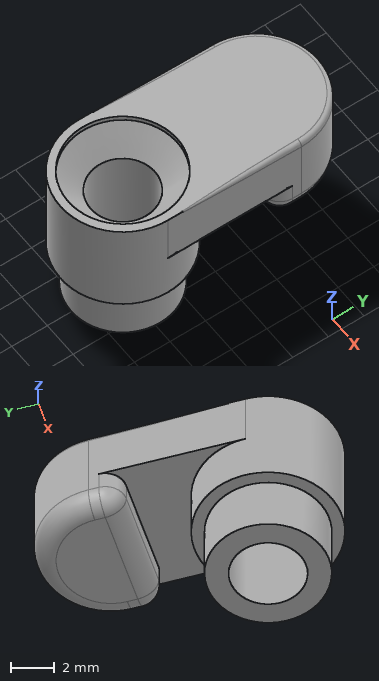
import cadquery as cq
import math

total_length = 14.5
width = 7.0
total_height = 8.51
spigot_height = 3.0
spigot_diameter = 5.8
arm_thickness = 2.9
foot_height = 4.85
foot_length = 5.0
foot_fillet = 1.0
edge_round = 0.29
bore_diameter = 3.6
sink_diameter = 6.1
sink_recess = 0.28
side_round_sections = 9
fade_power = 1.5

end_radius = width / 2
end_center = total_length - width
tip = end_center + end_radius
sink_depth = (sink_diameter - bore_diameter) / 2


def end_outline(start):
    """Full-width outline from Y = start to the semicircular tip."""
    return (
        cq.Workplane("XY")
        .moveTo(-end_radius, start)
        .lineTo(end_radius, start)
        .lineTo(end_radius, end_center)
        .threePointArc((0, tip), (-end_radius, end_center))
        .close()
    )


def make_post():
    spigot = cq.Workplane("XY").circle(spigot_diameter / 2).extrude(spigot_height)
    collar = (
        cq.Workplane("XY", origin=(0, 0, spigot_height))
        .circle(end_radius)
        .extrude(total_height - spigot_height)
    )
    return spigot.union(collar)


def make_arm():
    arm = end_outline(0).extrude(arm_thickness)
    return arm.translate((0, 0, total_height - arm_thickness))


def make_foot():
    foot = end_outline(tip - foot_length).extrude(foot_height)
    foot = foot.edges("|Z and <Y").fillet(foot_fillet)
    foot = foot.faces("<Z").edges().fillet(foot_fillet)
    return foot.translate((0, 0, total_height - foot_height))


def corner_section(plane, radius):
    """Material outside a quarter round; local origin is the sharp edge, local X points inward."""
    middle = radius * (1 - math.sqrt(0.5))
    return (
        plane.moveTo(0, 0)
        .lineTo(radius, 0)
        .threePointArc((middle, -middle), (0, -radius))
        .close()
    )


def side_round_radius(fraction):
    """Gradual fade from the full rounding at the free end to none at the screw axis."""
    return edge_round * (1 - fraction**fade_power)


def make_side_round():
    """Cutter for the left top edge, its radius fading toward the screw axis."""
    wires = []
    for index in range(side_round_sections):
        fraction = index / side_round_sections
        plane = cq.Plane(
            origin=(-end_radius, end_center * (1 - fraction), total_height),
            xDir=(1, 0, 0),
            normal=(0, -1, 0),
        )
        section = corner_section(cq.Workplane(plane), side_round_radius(fraction))
        wires.append(section.wires().val())
    return cq.Workplane(cq.Solid.makeLoft(wires, False))


def make_tip_round():
    """Cutter for the top edge around the semicircular end."""
    plane = cq.Workplane("XZ", origin=(-end_radius, end_center, total_height))
    section = corner_section(plane, edge_round)
    return section.revolve(180, (end_radius, 0, 0), (end_radius, -1, 0))


def make_screw_hole():
    recess_floor = total_height - sink_recess
    return (
        cq.Workplane("XZ")
        .moveTo(0, 0)
        .lineTo(bore_diameter / 2, 0)
        .lineTo(bore_diameter / 2, recess_floor - sink_depth)
        .lineTo(sink_diameter / 2, recess_floor)
        .lineTo(sink_diameter / 2, total_height)
        .lineTo(0, total_height)
        .close()
        .revolve(360, (0, 0, 0), (0, 1, 0))
    )


side_round = make_side_round()
body = make_post().union(make_arm()).union(make_foot())
body = body.cut(make_tip_round()).cut(side_round).cut(side_round.mirror("YZ"))
result = body.cut(make_screw_hole())